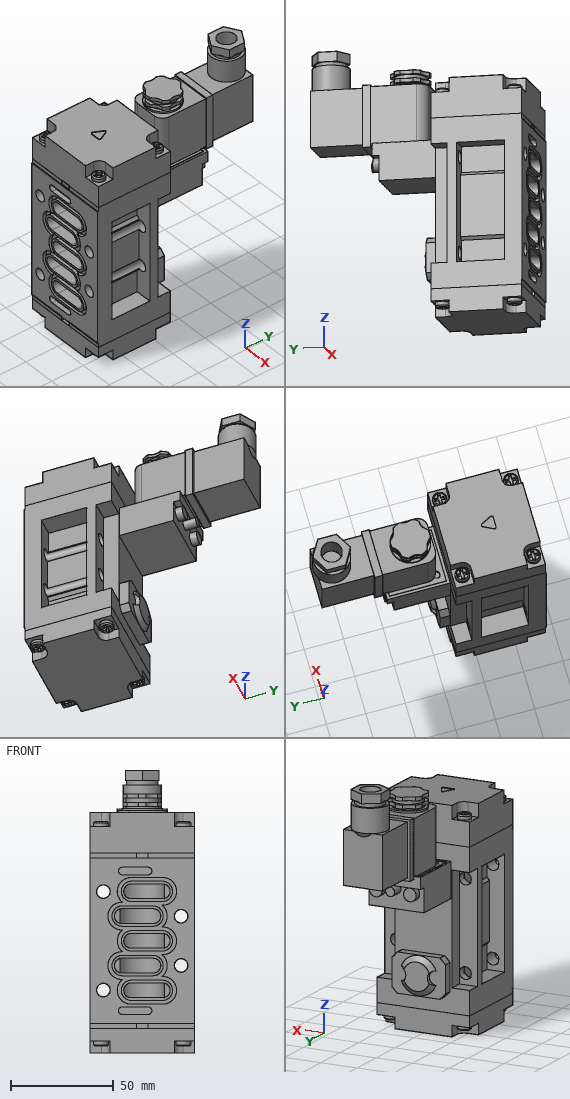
import cadquery as cq
import math

width = 51.0
front_y = 0.4
back_y = 45.8
lower_cover_height = 12.0
housing_height = 85.7
upper_cover_height = 19.9
pad_margin = 2.5
notch_width = 5.5
upper_notch_depth = 0.3
lower_notch_depth = 1.7

housing_top = lower_cover_height + housing_height
housing_mid = lower_cover_height + housing_height / 2
cover_top = housing_top + upper_cover_height
mid_y = (front_y + back_y) / 2

port_count = 5
port_pitch = 12.08
port_shift = 2.28
port_length, port_height = 22.6, 7.2
rim_length, rim_height = 25.0, 10.0
seal_length, seal_height = 29.0, 13.5
seal_depth = 2.0
bore_radius = 10.8
pilot_slot_length, pilot_slot_height = 16.3, 3.7
pilot_slot_x = -3.5
pilot_slot_offset = 34.1
pilot_slot_depth = 2.8

hole_radius = 3.24
hole_x = 18.98
left_hole_offset = 24.0
right_hole_offset = 12.0

window_height = 59.9
window_front, window_back = 9.0, 32.8
window_depth = 9.8
corner_notch_front = 37.8
corner_notch_depth = 9.8
bulge_height = 34.0
bulge_rise = 1.5

plug_width, plug_height = 29.5, 21.0
plug_z = 30.4
plug_thickness = 5.0
plug_chamfer = 3.0
plug_cone_height = 2.2
plug_cone_radius = 10.2
plug_cone_top_radius = 7.5
plug_grip_x = 9.7
plug_grip_radius = 3.7

upper_pocket_depth = 7.0
lower_pocket_depth = 6.0
pocket_x, pocket_y = 9.8, 9.2
pocket_radius = 4.1
screw_x = 20.1
screw_inset_y = 4.7
screw_radius = 3.6
screw_head = 2.5
screw_chamfer = 0.7
cross_length, cross_width = 4.4, 1.4
cross_depth = 2.0

mark_width, mark_length = 7.7, 7.7
mark_center_y = 22.9
mark_radius = 0.8
mark_depth = 0.4

pilot_width = 30.4
pilot_bottom, pilot_top = 70.2, 89.1
pilot_back = 74.2
ledge_back = 77.7
ledge_height = 6.2
seat_margin = 1.5
seat_depth = 0.4
pilot_screw_x = 9.4
pilot_screw_z = 79.5
pilot_screw_radius = 3.5
pilot_screw_end = 78.0
stem_z = 80.6
stem_radius = 2.5
stem_end = 80.9
dimple_x, dimple_y = 9.1, 51.2
dimple_radius = 1.8
dimple_depth = 1.4

coil_width = 23.5
coil_front, coil_back = 51.0, 79.2
coil_top = 118.5
coil_corner_radius = 5.1
knob_y = 61.8
knob_radius = 10.0
knob_neck_radius = 8.0
knob_base_height = 1.0
knob_neck_height = 1.0
knob_gap = 2.1
knob_disc = 2.0
scallop_count = 6
scallop_radius = 6.9
scallop_depth = 1.31

gasket_width = 24.4
gasket_thickness = 4.0
gasket_bottom, gasket_top = 88.0, 119.2
connector_width = 21.5
connector_back = 109.6
connector_bottom, connector_top = 89.7, 118.1
gland_y = 101.7
gland_radius = 9.32
gland_top = 131.0
gland_cone_height = 2.5
gland_cone_radius = 7.7
neck_radius = 7.7
neck_height = 2.1
nut_corner_diameter = 19.0
nut_top = 138.0
cable_hole_radius = 5.18
cable_hole_depth = 13.8


def block(x_size, y_low, y_high, z_low, z_high):
    """Box centred on X = 0."""
    base = cq.Workplane("XY", origin=(0, y_low, z_low))
    return base.box(x_size, y_high - y_low, z_high - z_low, centered=(True, False, False))


def racetrack(x, z, length, height, depth):
    """Slot-shaped prism reaching from the pad face (Y = 0) inwards."""
    return cq.Workplane("XZ").center(x, z).slot2D(length, height).extrude(-depth)


def upright(y, radius, z_low, z_high):
    """Vertical cylinder on the middle plane."""
    return cq.Workplane("XY", origin=(0, y, z_low)).circle(radius).extrude(z_high - z_low)


def cone(plane, base_radius, end_radius, length):
    """Frustum growing along the normal of the plane."""
    return cq.Workplane(plane).circle(base_radius).workplane(offset=length).circle(end_radius).loft()


def port_positions():
    middle = (port_count - 1) / 2
    for i in range(port_count):
        side = 1 if i % 2 == 0 else -1
        yield side * port_shift, housing_mid + (i - middle) * port_pitch


def cut_ports(body):
    """Joined seal groove around the port rims, then the ports down to the spool bore."""
    for x, z in port_positions():
        groove = racetrack(x, z, seal_length, seal_height, seal_depth)
        for rim_x, rim_z in port_positions():
            groove = groove.cut(racetrack(rim_x, rim_z, rim_length, rim_height, seal_depth))
        body = body.cut(groove)
    for x, z in port_positions():
        body = body.cut(racetrack(x, z, port_length, port_height, mid_y))
    body = body.cut(upright(mid_y, bore_radius, lower_cover_height, housing_top))
    for side in (-1, 1):
        slot_z = housing_mid + side * pilot_slot_offset
        body = body.cut(racetrack(pilot_slot_x, slot_z, pilot_slot_length, pilot_slot_height, pilot_slot_depth))
    return body


def side_window(side):
    """Window in one side, less the chamfered bulge left standing on its floor."""
    outer_x = side * width / 2
    floor_x = side * (width / 2 - window_depth)
    bulge_x = floor_x + side * bulge_rise
    half_window = window_height / 2
    half_bulge = bulge_height / 2
    half_bulge_top = half_bulge - bulge_rise
    return (
        cq.Workplane("XZ", origin=(0, window_front, housing_mid))
        .moveTo(outer_x, -half_window)
        .lineTo(floor_x, -half_window)
        .lineTo(floor_x, -half_bulge)
        .lineTo(bulge_x, -half_bulge_top)
        .lineTo(bulge_x, half_bulge_top)
        .lineTo(floor_x, half_bulge)
        .lineTo(floor_x, half_window)
        .lineTo(outer_x, half_window)
        .close()
        .extrude(window_front - window_back)
    )


def corner_notch(side):
    """Open notch along a back edge, level with the window."""
    notch = block(corner_notch_depth, corner_notch_front, back_y, 0, window_height)
    return notch.translate((side * (width - corner_notch_depth) / 2, 0, housing_mid - window_height / 2))


def back_plug():
    plate = (
        cq.Workplane("XZ", origin=(0, back_y, plug_z))
        .rect(plug_width, plug_height)
        .extrude(-plug_thickness)
        .edges("|Y")
        .chamfer(plug_chamfer)
    )
    cone_plane = cq.Plane(origin=(0, back_y + plug_thickness, plug_z), xDir=(1, 0, 0), normal=(0, 1, 0))
    knob = cone(cone_plane, plug_cone_radius, plug_cone_top_radius, plug_cone_height)
    grips = cq.Workplane(cone_plane).pushPoints([(-plug_grip_x, 0), (plug_grip_x, 0)])
    return plate.union(knob.cut(grips.circle(plug_grip_radius).extrude(plug_cone_height)))


def make_housing():
    body = block(width, front_y, back_y, lower_cover_height, housing_top)
    body = body.union(block(width, 0, front_y, lower_cover_height + pad_margin, housing_top - pad_margin))
    for z, depth in ((lower_cover_height, lower_notch_depth), (housing_top - pad_margin, upper_notch_depth)):
        body = body.cut(block(notch_width, front_y, front_y + depth, z, z + pad_margin))
    body = cut_ports(body)
    for side, offset in ((-1, left_hole_offset), (1, right_hole_offset)):
        spots = [(side * hole_x, housing_mid - offset), (side * hole_x, housing_mid + offset)]
        body = body.cut(cq.Workplane("XZ").pushPoints(spots).circle(hole_radius).extrude(-back_y))
        body = body.cut(side_window(side)).cut(corner_notch(side))
    return body.union(back_plug())


def cover_screw(x, y):
    """Cross-recessed screw head standing on Z = 0."""
    head = cq.Workplane("XY", origin=(x, y, 0)).circle(screw_radius).extrude(screw_head)
    head = head.faces(">Z").chamfer(screw_chamfer)
    for size_x, size_y in ((cross_length, cross_width), (cross_width, cross_length)):
        bar = cq.Workplane("XY", origin=(x, y, screw_head - cross_depth)).rect(size_x, size_y)
        head = head.cut(bar.extrude(cross_depth))
    return head


def make_cover(height, pocket_depth):
    """Cover standing on Z = 0, with a screw head in each upper corner pocket."""
    floor_z = height - pocket_depth
    cover = block(width, front_y, back_y, 0, height)
    pocket = cq.Workplane("XY").box(2 * pocket_x, 2 * pocket_y, pocket_depth, centered=(True, True, False))
    pocket = pocket.edges("|Z").fillet(pocket_radius)
    for side in (-1, 1):
        for corner_y, screw_y in ((front_y, front_y + screw_inset_y), (back_y, back_y - screw_inset_y)):
            cover = cover.cut(pocket.translate((side * width / 2, corner_y, floor_z)))
            cover = cover.union(cover_screw(side * screw_x, screw_y).translate((0, 0, floor_z)))
    return cover


def direction_mark():
    return (
        cq.Workplane("XY", origin=(0, mark_center_y, cover_top - mark_depth))
        .polyline([(-mark_width / 2, -mark_length / 2), (mark_width / 2, -mark_length / 2), (0, mark_length / 2)])
        .close()
        .extrude(mark_depth)
        .edges("|Z")
        .fillet(mark_radius)
    )


def make_upper_cover():
    return make_cover(upper_cover_height, upper_pocket_depth).translate((0, 0, housing_top)).cut(direction_mark())


def make_lower_cover():
    """Same form as the upper cover, turned over to face down."""
    return make_cover(lower_cover_height, lower_pocket_depth).mirror("XY").translate((0, 0, lower_cover_height))


def make_pilot_block():
    body = block(pilot_width, back_y, pilot_back, pilot_bottom, pilot_top)
    body = body.union(block(pilot_width, pilot_back, ledge_back, pilot_top - ledge_height, pilot_top))
    seat_width = pilot_width - 2 * seat_margin
    seat = block(seat_width, back_y + seat_margin, ledge_back - seat_margin, pilot_top - seat_depth, pilot_top)
    body = body.cut(seat)
    for side in (-1, 1):
        screw = cq.Workplane("XZ", origin=(side * pilot_screw_x, pilot_back, pilot_screw_z))
        body = body.union(screw.circle(pilot_screw_radius).extrude(pilot_back - pilot_screw_end))
        dimple = cq.Workplane("XY", origin=(side * dimple_x, dimple_y, pilot_top - seat_depth))
        body = body.cut(dimple.circle(dimple_radius).extrude(-dimple_depth))
    stem = cq.Workplane("XZ", origin=(0, pilot_back, stem_z)).circle(stem_radius).extrude(pilot_back - stem_end)
    return body.union(stem)


def scalloped_disc(z):
    disc = upright(knob_y, knob_radius, z, z + knob_disc)
    reach = knob_radius - scallop_depth + scallop_radius
    for i in range(scallop_count):
        angle = 2 * math.pi * i / scallop_count
        center = (reach * math.cos(angle), knob_y + reach * math.sin(angle), z)
        disc = disc.cut(cq.Workplane("XY", origin=center).circle(scallop_radius).extrude(knob_disc))
    return disc


def make_coil():
    body = block(coil_width, coil_front, coil_back, pilot_top - seat_depth, coil_top)
    body = body.edges("|Z and <Y").fillet(coil_corner_radius)
    lip = block(coil_width, ledge_back - seat_margin, coil_back, pilot_top - seat_depth, pilot_top)
    body = body.cut(lip)
    base_top = coil_top + knob_base_height
    lower_disc = base_top + knob_neck_height
    upper_disc = lower_disc + knob_disc + knob_gap
    body = body.union(upright(knob_y, knob_radius, coil_top, base_top))
    body = body.union(upright(knob_y, knob_neck_radius, base_top, upper_disc))
    return body.union(scalloped_disc(lower_disc)).union(scalloped_disc(upper_disc))


def make_connector():
    gasket_back = coil_back + gasket_thickness
    body = block(gasket_width, coil_back, gasket_back, gasket_bottom, gasket_top)
    body = body.union(block(connector_width, gasket_back, connector_back, connector_bottom, connector_top))
    cone_plane = cq.Plane(origin=(0, gland_y, connector_top - gland_cone_height))
    body = body.union(cone(cone_plane, gland_cone_radius, gland_radius, gland_cone_height))
    body = body.union(upright(gland_y, gland_radius, connector_top, gland_top))
    nut_bottom = gland_top + neck_height
    body = body.union(upright(gland_y, neck_radius, gland_top, nut_bottom))
    nut = cq.Workplane("XY", origin=(0, gland_y, nut_bottom)).transformed(rotate=(0, 0, 90))
    body = body.union(nut.polygon(6, nut_corner_diameter).extrude(nut_top - nut_bottom))
    return body.cut(upright(gland_y, cable_hole_radius, nut_top - cable_hole_depth, nut_top))


housing = make_housing()
upper_cover = make_upper_cover()
lower_cover = make_lower_cover()
pilot_block = make_pilot_block()
coil = make_coil()
connector = make_connector()

bodies = [housing, upper_cover, lower_cover, pilot_block, coil, connector]
result = cq.Compound.makeCompound([body.val() for body in bodies])